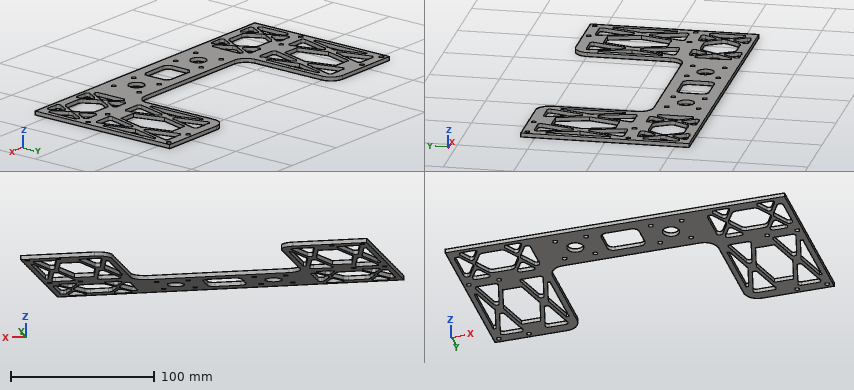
import cadquery as cq
import math

plate_length = 248.0
plate_width = 120.0
plate_thickness = 3.0
arm_width = 63.2
bridge_width = 40.0
outline_radius = 10.5

edge_margin = 4.0
lattice_width = arm_width - 2 * edge_margin
lattice_x = (plate_length - arm_width) / 2
crossing_offset = 16.4
triangle_radius = 2.0

tall_center_y = 80.0
tall_rib_angle = 15.5
tall_rib_width = 3.0
tall_apex_gap = 0.0
tall_triangle_reach = 32.0
tall_window_half_height = 22.8
tall_window_radius = 0.0
tall_window_edge_offset = tall_rib_width / math.cos(math.radians(tall_rib_angle))

short_center_y = 21.0
short_rib_angle = 30.0
short_apex_gap = 4.5
short_triangle_reach = 17.9
short_window_half_height = 13.0
short_window_edge_offset = 0.2
short_window_radius = 4.0
rail_corner_radius = 2.0

screw_diameter = 3.2
arm_screw_spacing_x = 22.0
arm_screw_spacing_y = 72.0

bridge_center_y = 20.0
shaft_diameter = 12.0
shaft_spacing = 70.0
bridge_screw_spacing = 22.5
bridge_window_length = 27.5
bridge_window_width = 22.5
bridge_window_radius = 4.5


def prism(points, radius=0.0):
    """Plate-thick prism with a polygonal outline and rounded corners."""
    body = cq.Workplane("XY").polyline(points).close().extrude(plate_thickness)
    if radius > 0:
        body = body.edges("|Z").fillet(radius)
    return body


def make_plate():
    half_length = plate_length / 2
    inner_x = half_length - arm_width
    plate = prism([
        (-half_length, 0),
        (half_length, 0),
        (half_length, plate_width),
        (inner_x, plate_width),
        (inner_x, bridge_width),
        (-inner_x, bridge_width),
        (-inner_x, plate_width),
        (-half_length, plate_width),
    ])
    return plate.edges("|Z and (not <X) and (not >X)").fillet(outline_radius)


def lattice_cutters(center_y, rib_angle, apex_gap, triangle_reach,
                    window_half_height, window_edge_offset, window_radius):
    """Openings around two X-shaped crossings, for the arm on the +X side."""
    slope = math.tan(math.radians(rib_angle))
    base_half_width = slope * (triangle_reach - apex_gap)
    window_end_offset = window_edge_offset + slope * window_half_height
    wall_x = lattice_width / 2
    cutters = []

    for crossing_x in (-crossing_offset, crossing_offset):
        for side in (-1, 1):
            cutters.append(prism([
                (crossing_x, side * apex_gap),
                (crossing_x - base_half_width, side * triangle_reach),
                (crossing_x + base_half_width, side * triangle_reach),
            ], triangle_radius))

    hexagon_tip = crossing_offset - window_edge_offset
    hexagon_end = crossing_offset - window_end_offset
    cutters.append(prism([
        (-hexagon_tip, 0),
        (-hexagon_end, window_half_height),
        (hexagon_end, window_half_height),
        (hexagon_tip, 0),
        (hexagon_end, -window_half_height),
        (-hexagon_end, -window_half_height),
    ], window_radius))

    side_tip = crossing_offset + window_edge_offset
    side_end = crossing_offset + window_end_offset
    for side, tip_edge in ((-1, ">X"), (1, "<X")):
        half_window = prism([
            (side * side_tip, 0),
            (side * side_end, window_half_height),
            (side * wall_x, window_half_height),
            (side * wall_x, -window_half_height),
            (side * side_end, -window_half_height),
        ])
        if window_radius > 0:
            half_window = half_window.edges(f"|Z and (not {tip_edge})").fillet(rail_corner_radius)
            half_window = half_window.edges(f"|Z and {tip_edge}").fillet(window_radius)
        cutters.append(half_window)

    return [cutter.translate((lattice_x, center_y, 0)) for cutter in cutters]


def cut_lattices(plate):
    cutters = lattice_cutters(
        tall_center_y, tall_rib_angle, tall_apex_gap, tall_triangle_reach,
        tall_window_half_height, tall_window_edge_offset, tall_window_radius,
    )
    cutters += lattice_cutters(
        short_center_y, short_rib_angle, short_apex_gap, short_triangle_reach,
        short_window_half_height, short_window_edge_offset, short_window_radius,
    )
    for cutter in cutters:
        plate = plate.cut(cutter).cut(cutter.mirror("YZ"))
    return plate


def drill(plate, centers, diameter):
    holes = cq.Workplane("XY").pushPoints(centers).circle(diameter / 2).extrude(plate_thickness)
    return plate.cut(holes)


def cut_arm_screws(plate):
    outer_x = plate_length / 2 - edge_margin
    back_y = plate_width - edge_margin
    centers = [
        (side * x, y)
        for side in (-1, 1)
        for x in (outer_x, outer_x - arm_screw_spacing_x)
        for y in (back_y, back_y - arm_screw_spacing_y)
    ]
    return drill(plate, centers, screw_diameter)


def cut_bridge(plate):
    shaft_centers = [(side * shaft_spacing / 2, bridge_center_y) for side in (-1, 1)]
    half_spacing = bridge_screw_spacing / 2
    screw_centers = [
        (x + dx, y + dy)
        for x, y in shaft_centers
        for dx in (-half_spacing, half_spacing)
        for dy in (-half_spacing, half_spacing)
    ]
    plate = drill(plate, shaft_centers, shaft_diameter)
    plate = drill(plate, screw_centers, screw_diameter)

    window = (
        cq.Workplane("XY")
        .center(0, bridge_center_y)
        .rect(bridge_window_length, bridge_window_width)
        .extrude(plate_thickness)
        .edges("|Z")
        .fillet(bridge_window_radius)
    )
    return plate.cut(window)


result = cut_bridge(cut_arm_screws(cut_lattices(make_plate())))